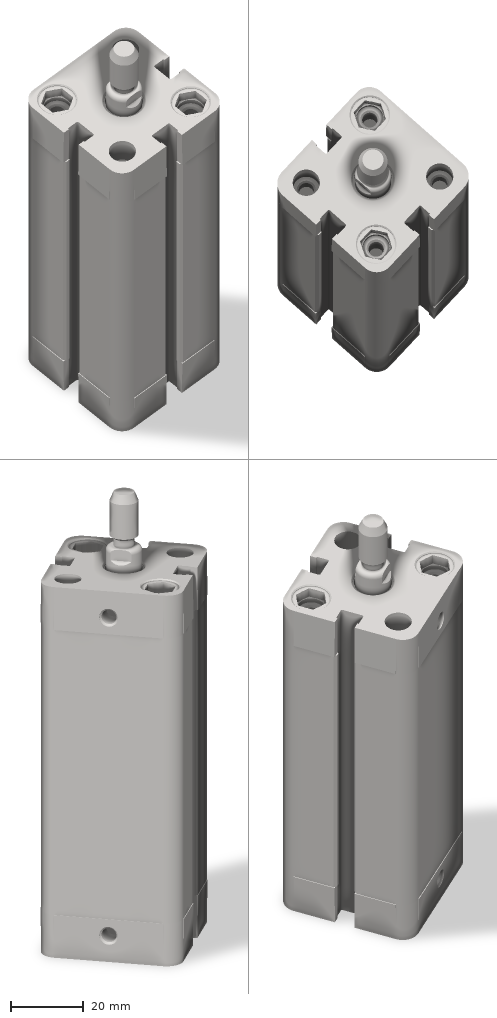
import cadquery as cq
import math

TOTAL_HEIGHT = 131.0
ROD_LENGTH_OUT = 21.9
CAP_HEIGHT = 12.6
BODY_WIDTH = 40.0
CAP_SEAM_WIDTH = 40.3
CORNER_RADIUS = 4.7

BODY_TOP = TOTAL_HEIGHT - ROD_LENGTH_OUT
FRONT_SEAM = BODY_TOP - CAP_HEIGHT
BARREL_LENGTH = BODY_TOP - 2 * CAP_HEIGHT
SIDE_WIDTH = BODY_WIDTH - 2 * CORNER_RADIUS

SLOT_ANGLES = (0, 90, 180)
SLOT_FLOOR = 14.4
SLOT_WIDTH = 6.7
SLOT_FLOOR_FILLET = 0.4
LIP_INNER = 18.1
CAP_MOUTH = 5.9
BARREL_MOUTH = 5.2
MOUTH_CHAMFER = (SLOT_WIDTH - BARREL_MOUTH) / 2
SLOT_OUTER = CAP_SEAM_WIDTH / 2 + 1.3

ROD_DIAMETER = 10.0
THREAD_DIAMETER = 8.0
NECK_DIAMETER = 5.8
TIP_LENGTH = 2.5
THREAD_END = 12.7
NECK_START = 13.5
COLLAR_TOP = 15.7
COLLAR_FILLET = 1.3
FLATS_WIDTH = 8.0
FLATS_HEIGHT = 3.3

RECESS_DIAMETER = 12.0
RECESS_BORE = 11.1
RECESS_DEPTH = 0.7
SEAL_GAP_DIAMETER = 10.5
SEAL_GAP_DEPTH = 2.6

HOLE_OFFSET = 13.0
PLAIN_CORNERS = ((-HOLE_OFFSET, HOLE_OFFSET), (HOLE_OFFSET, -HOLE_OFFSET))
SOCKET_CORNERS = ((-HOLE_OFFSET, -HOLE_OFFSET), (HOLE_OFFSET, HOLE_OFFSET))
PLAIN_DIAMETER = 7.5
HEAD_DIAMETER = 11.1
LEDGE_DIAMETER = 10.5
LEDGE_DEPTH = 0.5
HEX_ACROSS_FLATS = 7.9
HEX_RELIEF = 8.0
HEX_DEPTH = 3.0
SOCKET_BORE = 7.5
SOCKET_DEPTH = 5.0
PLAIN_DEPTH = 7.9

DRILL_DIAMETER = 4.2
COUNTERSINK_DIAMETER = 5.2
COUNTERSINK_DEPTH = (COUNTERSINK_DIAMETER - DRILL_DIAMETER) / 2
MOUTH_OVERRUN = 0.7
PORT_DEPTH = 6.5
PORT_FROM_END = 7.7


def revolved(points):
    """Solid of revolution about Z from (radius, z) points."""
    return cq.Workplane("XZ").polyline(points).close().revolve(360, (0, 0, 0), (0, 1, 0))


def countersunk_drill(depth):
    """Cutter with its mouth at Z = 0, going down to -depth and a little above the mouth."""
    return revolved([
        (0, MOUTH_OVERRUN),
        (COUNTERSINK_DIAMETER / 2, MOUTH_OVERRUN),
        (COUNTERSINK_DIAMETER / 2, 0),
        (DRILL_DIAMETER / 2, -COUNTERSINK_DEPTH),
        (DRILL_DIAMETER / 2, -depth),
        (0, -depth),
    ])


def rounded_square(width):
    return cq.Sketch().rect(width, width).vertices().fillet(CORNER_RADIUS)


def cut_slots(solid, mouth_points, height):
    """Cut the three slots; mouth_points runs from the lip's inner face to the outside on +X."""
    half = [(SLOT_WIDTH / 2, -SLOT_FLOOR), (SLOT_WIDTH / 2, -LIP_INNER)] + mouth_points
    mirrored = [(-x, y) for x, y in reversed(half)]
    slot = cq.Workplane("XY").polyline(half + mirrored).close().extrude(height)
    slot = slot.edges("|Z").edges(">Y").fillet(SLOT_FLOOR_FILLET)
    for angle in SLOT_ANGLES:
        solid = solid.cut(slot.rotate((0, 0, 0), (0, 0, 1), angle))
    return solid


def make_barrel():
    barrel = cq.Workplane("XY").placeSketch(rounded_square(BODY_WIDTH)).extrude(BARREL_LENGTH)
    mouth_points = [
        (BARREL_MOUTH / 2, -LIP_INNER),
        (BARREL_MOUTH / 2, -(BODY_WIDTH / 2 - MOUTH_CHAMFER)),
        (SLOT_WIDTH / 2, -BODY_WIDTH / 2),
        (SLOT_WIDTH / 2, -SLOT_OUTER),
    ]
    barrel = cut_slots(barrel, mouth_points, BARREL_LENGTH)
    return barrel.translate((0, 0, CAP_HEIGHT))


def flared_sides(plane):
    """Pair of opposite cap sides between the corners, widest at the seam (Z = 0)."""
    return (
        cq.Workplane(plane)
        .moveTo(-CAP_SEAM_WIDTH / 2, 0)
        .lineTo(CAP_SEAM_WIDTH / 2, 0)
        .lineTo(BODY_WIDTH / 2, CAP_HEIGHT)
        .lineTo(-BODY_WIDTH / 2, CAP_HEIGHT)
        .close()
        .extrude(SIDE_WIDTH / 2, both=True)
    )


def make_cap_blank():
    """Cap with slots and air port; its seam is at Z = 0 and its outer end at CAP_HEIGHT."""
    cap = cq.Workplane("XY").placeSketch(rounded_square(BODY_WIDTH)).extrude(CAP_HEIGHT)
    cap = cap.union(flared_sides("XZ")).union(flared_sides("YZ"))
    mouth_points = [(CAP_MOUTH / 2, -LIP_INNER), (CAP_MOUTH / 2, -SLOT_OUTER)]
    cap = cut_slots(cap, mouth_points, CAP_HEIGHT)
    port = (
        countersunk_drill(PORT_DEPTH)
        .rotate((0, 0, 0), (0, 1, 0), -90)
        .translate((-BODY_WIDTH / 2, 0, CAP_HEIGHT - PORT_FROM_END))
    )
    return cap.cut(port)


def make_rear_cap():
    return make_cap_blank().mirror("XY").translate((0, 0, CAP_HEIGHT))


def plain_hole():
    """Counterbored corner hole, mouth at Z = 0."""
    bore = cq.Workplane("XY").circle(PLAIN_DIAMETER / 2).extrude(-PLAIN_DEPTH)
    drill = countersunk_drill(CAP_HEIGHT - PLAIN_DEPTH).translate((0, 0, -PLAIN_DEPTH))
    return bore.union(drill)


def socket_hole():
    """Corner hole with a shallow ledge, a hexagon socket and a drilled floor, mouth at Z = 0."""
    chamfer = (HEAD_DIAMETER - LEDGE_DIAMETER) / 2
    ledge = revolved([
        (0, 0),
        (HEAD_DIAMETER / 2, 0),
        (LEDGE_DIAMETER / 2, -chamfer),
        (LEDGE_DIAMETER / 2, -LEDGE_DEPTH),
        (0, -LEDGE_DEPTH),
    ])
    across_corners = HEX_ACROSS_FLATS / math.cos(math.pi / 6)
    hex_floor = LEDGE_DEPTH + HEX_DEPTH
    hexagon = cq.Workplane("XY").polygon(6, across_corners).extrude(-hex_floor)
    relief = cq.Workplane("XY").circle(HEX_RELIEF / 2).extrude(-hex_floor)
    bore = cq.Workplane("XY").circle(SOCKET_BORE / 2).extrude(-SOCKET_DEPTH)
    drill = countersunk_drill(CAP_HEIGHT - SOCKET_DEPTH).translate((0, 0, -SOCKET_DEPTH))
    return ledge.union(hexagon).union(relief).union(bore).union(drill)


def rod_passage():
    """Rod hole through the front cap with a chamfered recess, mouth at Z = 0."""
    chamfer = (RECESS_DIAMETER - RECESS_BORE) / 2
    return revolved([
        (0, 0),
        (RECESS_DIAMETER / 2, 0),
        (RECESS_BORE / 2, -chamfer),
        (RECESS_BORE / 2, -RECESS_DEPTH),
        (SEAL_GAP_DIAMETER / 2, -RECESS_DEPTH),
        (SEAL_GAP_DIAMETER / 2, -SEAL_GAP_DEPTH),
        (ROD_DIAMETER / 2, -SEAL_GAP_DEPTH),
        (ROD_DIAMETER / 2, -CAP_HEIGHT),
        (0, -CAP_HEIGHT),
    ])


def make_front_cap():
    cap = make_cap_blank().translate((0, 0, FRONT_SEAM))
    cap = cap.cut(rod_passage().translate((0, 0, BODY_TOP)))
    for x, y in PLAIN_CORNERS:
        cap = cap.cut(plain_hole().translate((x, y, BODY_TOP)))
    for x, y in SOCKET_CORNERS:
        cap = cap.cut(socket_hole().translate((x, y, BODY_TOP)))
    return cap


def wrench_flat():
    """Cutter for the flat on the +X side; its lower end slopes outwards at 45 degrees."""
    collar_z = TOTAL_HEIGHT - COLLAR_TOP
    flat_end = collar_z - FLATS_HEIGHT
    flat_x = FLATS_WIDTH / 2
    return (
        cq.Workplane("XZ")
        .moveTo(flat_x, collar_z)
        .lineTo(flat_x, flat_end)
        .lineTo(flat_x + ROD_DIAMETER, flat_end - ROD_DIAMETER)
        .lineTo(flat_x + ROD_DIAMETER, collar_z)
        .close()
        .extrude(ROD_DIAMETER / 2, both=True)
    )


def make_rod():
    """Piston rod with wrench flats, undercut and threaded end, seated on the barrel."""
    collar_z = TOTAL_HEIGHT - COLLAR_TOP
    shank = (
        cq.Workplane("XY", origin=(0, 0, FRONT_SEAM))
        .circle(ROD_DIAMETER / 2)
        .extrude(collar_z - FRONT_SEAM)
        .faces(">Z")
        .edges()
        .fillet(COLLAR_FILLET)
    )
    for angle in (0, 180):
        shank = shank.cut(wrench_flat().rotate((0, 0, 0), (0, 0, 1), angle))
    threaded_end = revolved([
        (0, collar_z),
        (NECK_DIAMETER / 2, collar_z),
        (NECK_DIAMETER / 2, TOTAL_HEIGHT - NECK_START),
        (THREAD_DIAMETER / 2, TOTAL_HEIGHT - THREAD_END),
        (THREAD_DIAMETER / 2, TOTAL_HEIGHT - TIP_LENGTH),
        (NECK_DIAMETER / 2, TOTAL_HEIGHT),
        (0, TOTAL_HEIGHT),
    ])
    return shank.union(threaded_end)


rear_cap = make_rear_cap()
barrel = make_barrel()
front_cap = make_front_cap()
rod = make_rod()

result = cq.Compound.makeCompound([rear_cap.val(), barrel.val(), front_cap.val(), rod.val()])